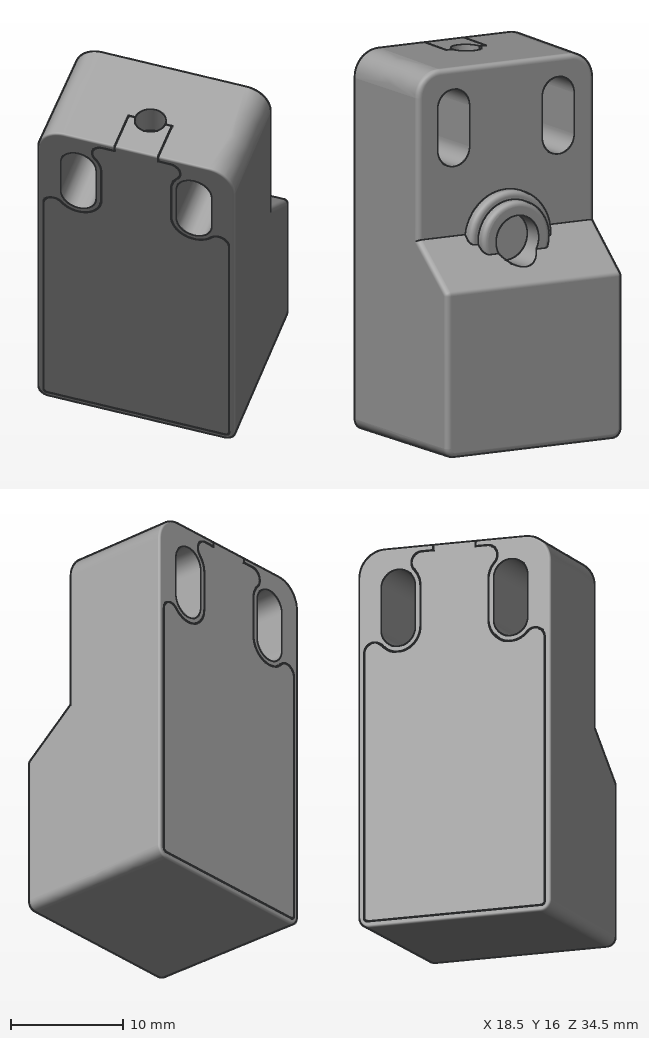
import cadquery as cq
import math

WIDTH = 18.5
DEPTH = 16.0
HEIGHT = 34.5
TOP_CORNER_RADIUS = 2.5
BOTTOM_CORNER_RADIUS = 1.0
DRAFT_ANGLE = 0.5
UPPER_DEPTH = 11.0
SLOPE_TOP = 19.15
SLOPE_BOTTOM = 15.1
FRONT_FILLET = 0.2
BACK_FILLET = 0.5
SELECT_MARGIN = 0.35

SLOT_WIDTH = 3.3
SLOT_LENGTH = 7.05
SLOT_SPACING = 10.85
SLOT_TOP_GAP = 2.0

GROOVE_WIDTH = 0.07
GROOVE_DEPTH = 0.5
COVER_INSET = 0.6
COVER_CORNER_RADIUS = 0.3
LOBE_RADIUS = 0.93
SLOT_RIM = 0.52
TAB_WIDTH = 4.0
TAB_DEPTH = 4.0

WINDOW_DIAMETER = 2.8
WINDOW_DEPTH = 2.75

GROMMET_Z = 18.6
GROMMET_BASE_DIAMETER = 8.52
GROMMET_COLLAR_DIAMETER = 6.97
GROMMET_STEP = 1.0
GROMMET_FILLET = 0.5
CABLE_DIAMETER = 4.4

slot_radius = SLOT_WIDTH / 2
slot_x = SLOT_SPACING / 2
slot_z = HEIGHT - SLOT_TOP_GAP - SLOT_LENGTH / 2
slot_arc_offset = (SLOT_LENGTH - SLOT_WIDTH) / 2


def upright_plane(y=0, z=0):
    """Workplane parallel to the front face that extrudes toward +Y."""
    return cq.Workplane(cq.Plane(origin=(0, y, z), xDir=(-1, 0, 0), normal=(0, 1, 0)))


def make_housing():
    """Drafted block with a sloped step at the back and rounded edges."""
    block = (
        upright_plane()
        .center(0, HEIGHT / 2)
        .sketch()
        .rect(WIDTH, HEIGHT)
        .vertices(">Y")
        .fillet(TOP_CORNER_RADIUS)
        .reset()
        .vertices("<Y")
        .fillet(BOTTOM_CORNER_RADIUS)
        .finalize()
        .extrude(DEPTH, taper=DRAFT_ANGLE)
    )
    step = (
        cq.Workplane("YZ")
        .moveTo(UPPER_DEPTH, HEIGHT)
        .lineTo(UPPER_DEPTH, SLOPE_TOP)
        .lineTo(DEPTH, SLOPE_BOTTOM)
        .lineTo(DEPTH, HEIGHT)
        .close()
        .extrude(WIDTH, both=True)
    )
    inner_corner = cq.selectors.BoxSelector(
        (-WIDTH, UPPER_DEPTH - SELECT_MARGIN, SLOPE_TOP - SELECT_MARGIN),
        (WIDTH, UPPER_DEPTH + SELECT_MARGIN, SLOPE_TOP + SELECT_MARGIN),
    )
    back_edges = cq.selectors.BoxSelector(
        (-WIDTH, UPPER_DEPTH - SELECT_MARGIN, -SELECT_MARGIN),
        (WIDTH, DEPTH + SELECT_MARGIN, HEIGHT + SELECT_MARGIN),
    )
    housing = block.cut(step)
    housing = housing.edges(back_edges - inner_corner).fillet(BACK_FILLET)
    return housing.faces("<Y").edges().fillet(FRONT_FILLET)


def make_slots():
    """Two vertical mounting slots running through the whole depth."""
    return (
        upright_plane()
        .pushPoints([(-slot_x, slot_z), (slot_x, slot_z)])
        .slot2D(SLOT_LENGTH, SLOT_WIDTH, 90)
        .extrude(DEPTH)
    )


def point_between(start, end, distance):
    """Point on the line from start to end at the given distance from start."""
    angle = math.atan2(end[1] - start[1], end[0] - start[0])
    return (start[0] + distance * math.cos(angle), start[1] + distance * math.sin(angle))


def point_on_circle(center, radius, angle):
    """Point on a circle at an angle in degrees, counted from the workplane's X direction."""
    turn = math.radians(angle)
    return (center[0] + radius * math.cos(turn), center[1] + radius * math.sin(turn))


def make_cover(margin, depth):
    """Cover shape grown by a margin: it skirts both slots and ends in a neck at the top."""
    rim_radius = slot_radius + SLOT_RIM - margin
    lobe_radius = LOBE_RADIUS + margin
    center_gap = rim_radius + lobe_radius
    side = WIDTH / 2 - COVER_INSET + margin
    bottom = COVER_INSET - margin
    shoulder = HEIGHT - COVER_INSET + margin
    corner = COVER_CORNER_RADIUS + margin
    neck = TAB_WIDTH / 2 + margin

    rim_low = (slot_x, slot_z - slot_arc_offset)
    rim_high = (slot_x, slot_z + slot_arc_offset)
    low_x = side - lobe_radius
    low_lobe = (low_x, rim_low[1] - math.sqrt(center_gap**2 - (low_x - slot_x) ** 2))
    high_z = shoulder - lobe_radius
    high_lobe = (slot_x - math.sqrt(center_gap**2 - (high_z - rim_high[1]) ** 2), high_z)
    low_touch = point_between(rim_low, low_lobe, rim_radius)
    high_touch = point_between(rim_high, high_lobe, rim_radius)
    corner_center = (side - corner, bottom + corner)
    rim_x = slot_x - rim_radius

    half = (
        upright_plane()
        .moveTo(0, bottom)
        .lineTo(side - corner, bottom)
        .threePointArc(point_on_circle(corner_center, corner, -45), (side, bottom + corner))
        .lineTo(side, low_lobe[1])
        .threePointArc(point_on_circle(low_lobe, lobe_radius, 60), low_touch)
        .threePointArc(point_on_circle(rim_low, rim_radius, -135), (rim_x, rim_low[1]))
        .lineTo(rim_x, rim_high[1])
        .threePointArc(point_on_circle(rim_high, rim_radius, 160), high_touch)
        .threePointArc(point_on_circle(high_lobe, lobe_radius, 30), (high_lobe[0], shoulder))
        .lineTo(neck, shoulder)
        .lineTo(neck, HEIGHT + GROOVE_DEPTH)
        .lineTo(0, HEIGHT + GROOVE_DEPTH)
        .close()
        .extrude(depth)
    )
    return half.union(half.mirror("YZ"))


def make_tab(margin):
    """Tab that folds from the cover neck over the top face, grown by a margin."""
    width = TAB_WIDTH + 2 * margin
    length = TAB_DEPTH + margin
    height = 2 * GROOVE_DEPTH
    top = cq.Workplane("XY", origin=(0, 0, HEIGHT))
    return top.box(width, length, height, centered=(True, False, True))


def make_window():
    """Blind round hole sunk into the top face."""
    return (
        cq.Workplane("XY", origin=(0, TAB_DEPTH + GROOVE_WIDTH, HEIGHT - WINDOW_DEPTH))
        .circle(WINDOW_DIAMETER / 2)
        .extrude(2 * WINDOW_DEPTH)
    )


def make_grommet_disc(diameter, height):
    """Disc from inside the housing to a height above the upper back face."""
    return (
        upright_plane(UPPER_DEPTH - GROMMET_STEP, GROMMET_Z)
        .circle(diameter / 2)
        .extrude(GROMMET_STEP + height)
        .faces(">Y")
        .edges()
        .fillet(GROMMET_FILLET)
    )


def make_cable_hole():
    """Round hole through the grommet, ending at the upper back face."""
    return (
        upright_plane(UPPER_DEPTH, GROMMET_Z)
        .circle(CABLE_DIAMETER / 2)
        .extrude(DEPTH - UPPER_DEPTH)
    )


cover_groove = make_cover(GROOVE_WIDTH, GROOVE_DEPTH).cut(make_cover(0, GROOVE_DEPTH))
tab_groove = make_tab(GROOVE_WIDTH).cut(make_tab(0))

result = (
    make_housing()
    .union(make_grommet_disc(GROMMET_BASE_DIAMETER, GROMMET_STEP))
    .union(make_grommet_disc(GROMMET_COLLAR_DIAMETER, 2 * GROMMET_STEP))
    .cut(make_cable_hole())
    .cut(make_slots())
    .cut(cover_groove)
    .cut(tab_groove)
    .cut(make_window())
)